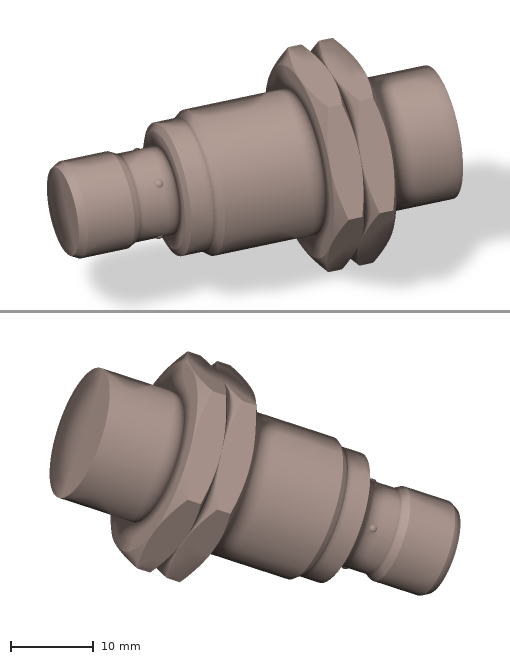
import cadquery as cq
import math

LENGTH = 48.5

THREAD_RADIUS = 9.0
PLAIN_RADIUS = 8.25
COLLAR_TIP_RADIUS = 7.28
NECK_RADIUS = 5.5
CONNECTOR_RADIUS = 6.0

NUT_START = 10.0
THREAD_END = 31.0
COLLAR_START = 32.0
COLLAR_CHAMFER_START = 35.0
NECK_START = 35.5
NECK_END = 40.5
CONNECTOR_START = 41.5
CONNECTOR_CHAMFER_START = 47.55

DOME_COUNT = 4
DOME_BALL_RADIUS = 0.6
DOME_HEIGHT = 0.25
DOME_POSITION = 37.55
DOME_FIRST_ANGLE = 45.0

NUT_COUNT = 2
NUT_STACK_LENGTH = 8.0
NUT_THICKNESS = NUT_STACK_LENGTH / NUT_COUNT
NUT_ACROSS_FLATS = 24.0
NUT_CORNER_RADIUS = NUT_ACROSS_FLATS / math.sqrt(3)
NUT_FACE_RADIUS = 11.95
NUT_CHAMFER_ANGLE = 30.0
NUT_CHAMFER_DEPTH = (NUT_CORNER_RADIUS - NUT_FACE_RADIUS) * math.tan(math.radians(NUT_CHAMFER_ANGLE))


def revolve_about_y(profile):
    """Revolve a closed (radius, y) outline about the Y axis."""
    return cq.Workplane("XY").polyline(profile).close().revolve(360, (0, 0, 0), (0, 1, 0))


def make_dome(angle):
    """Ball sunk into the neck so that its cap stands DOME_HEIGHT above the surface."""
    centre_radius = NECK_RADIUS + DOME_HEIGHT - DOME_BALL_RADIUS
    return (
        cq.Workplane("XY")
        .sphere(DOME_BALL_RADIUS)
        .translate((0, -DOME_POSITION, centre_radius))
        .rotate((0, 0, 0), (0, 1, 0), angle)
    )


def make_sensor():
    """Turned sensor body with a stepped barrel, neck and connector."""
    sensor = revolve_about_y([
        (0, 0),
        (PLAIN_RADIUS, 0),
        (PLAIN_RADIUS, -NUT_START),
        (THREAD_RADIUS, -NUT_START),
        (THREAD_RADIUS, -THREAD_END),
        (PLAIN_RADIUS, -COLLAR_START),
        (PLAIN_RADIUS, -COLLAR_CHAMFER_START),
        (COLLAR_TIP_RADIUS, -NECK_START),
        (NECK_RADIUS, -NECK_START),
        (NECK_RADIUS, -NECK_END),
        (CONNECTOR_RADIUS, -CONNECTOR_START),
        (CONNECTOR_RADIUS, -CONNECTOR_CHAMFER_START),
        (NECK_RADIUS, -LENGTH),
        (0, -LENGTH),
    ])
    for index in range(DOME_COUNT):
        angle = DOME_FIRST_ANGLE + index * 360 / DOME_COUNT
        sensor = sensor.union(make_dome(angle))
    return sensor


def make_nut(start):
    """Hexagonal nut, chamfered on both faces, reaching from start toward the connector."""
    end = start + NUT_THICKNESS
    hexagon = (
        cq.Workplane("XZ", origin=(0, -start, 0))
        .polygon(6, 2 * NUT_CORNER_RADIUS)
        .circle(THREAD_RADIUS)
        .extrude(NUT_THICKNESS)
    )
    chamfer_envelope = revolve_about_y([
        (0, -start),
        (NUT_FACE_RADIUS, -start),
        (NUT_CORNER_RADIUS, -start - NUT_CHAMFER_DEPTH),
        (NUT_CORNER_RADIUS, -end + NUT_CHAMFER_DEPTH),
        (NUT_FACE_RADIUS, -end),
        (0, -end),
    ])
    return hexagon.intersect(chamfer_envelope)


sensor = make_sensor()
nuts = [make_nut(NUT_START + index * NUT_THICKNESS) for index in range(NUT_COUNT)]

result = cq.Compound.makeCompound([sensor.val(), *[nut.val() for nut in nuts]])